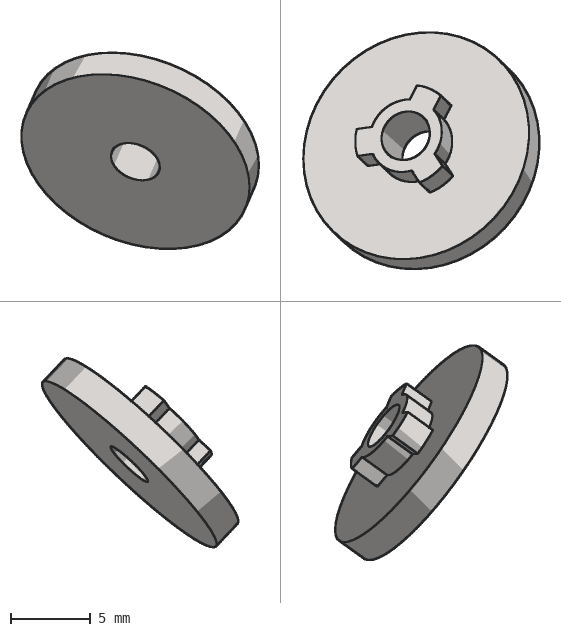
import cadquery as cq
import math

disc_diameter = 15.0
disc_thickness = 2.0
bore_diameter = 3.2

boss_height = 2.0
lobe_count = 3
lobe_tip_radius = 3.35
boss_root_radius = 2.4
lobe_width = 1.8
first_lobe_angle = -1.4

total_depth = disc_thickness + boss_height
lobe_pitch = 360.0 / lobe_count


def polar_point(radius, angle):
    """Point at an angle in degrees from +X toward +Z."""
    return (radius * math.cos(math.radians(angle)), radius * math.sin(math.radians(angle)))


def half_angle(width, radius):
    """Half the angle, in degrees, that a chord of this width spans on a circle."""
    return math.degrees(math.asin(width / 2 / radius))


def extrude_toward_back(sketch, depth):
    """Extrude an XZ sketch toward +Y, against the normal of the XZ plane."""
    return sketch.extrude(-depth)


def make_disc():
    return extrude_toward_back(cq.Workplane("XZ").circle(disc_diameter / 2), disc_thickness)


def make_boss():
    """Boss whose lobe tips and roots are arcs about the bore axis, joined by parallel flanks."""
    tip_half = half_angle(lobe_width, lobe_tip_radius)
    root_half = half_angle(lobe_width, boss_root_radius)
    outline = cq.Workplane("XZ", origin=(0, disc_thickness, 0))
    outline = outline.moveTo(*polar_point(boss_root_radius, first_lobe_angle - root_half))
    for index in range(lobe_count):
        lobe_angle = first_lobe_angle + index * lobe_pitch
        outline = outline.lineTo(*polar_point(lobe_tip_radius, lobe_angle - tip_half))
        outline = outline.threePointArc(
            polar_point(lobe_tip_radius, lobe_angle),
            polar_point(lobe_tip_radius, lobe_angle + tip_half),
        )
        outline = outline.lineTo(*polar_point(boss_root_radius, lobe_angle + root_half))
        outline = outline.threePointArc(
            polar_point(boss_root_radius, lobe_angle + lobe_pitch / 2),
            polar_point(boss_root_radius, lobe_angle + lobe_pitch - root_half),
        )
    return extrude_toward_back(outline.close(), boss_height)


def make_bore():
    return extrude_toward_back(cq.Workplane("XZ").circle(bore_diameter / 2), total_depth)


result = make_disc().union(make_boss()).cut(make_bore())